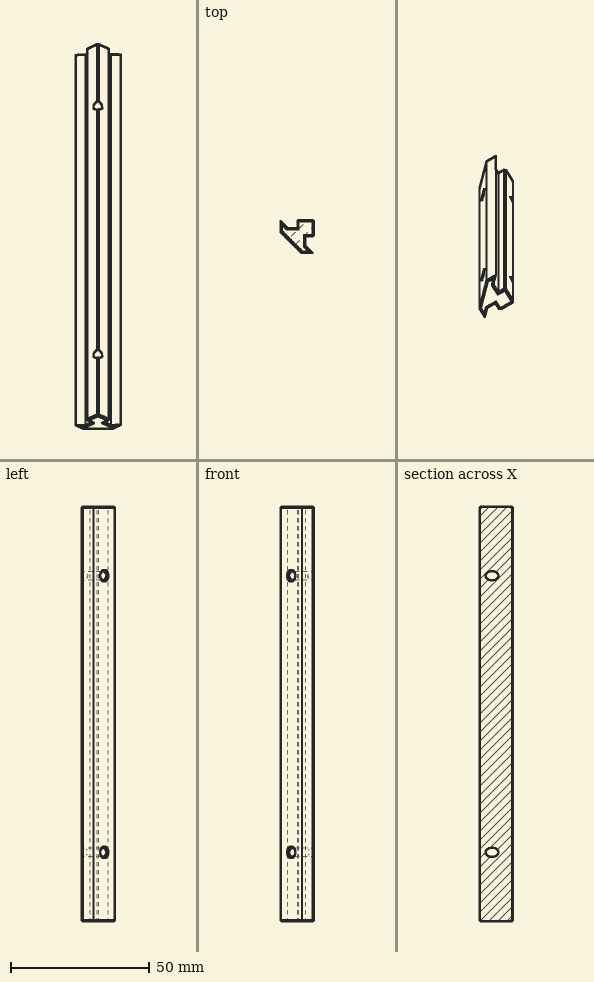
import cadquery as cq
import math

length = 150.0
side = 12.0

face_cut = 7.6
lip_tip = 11.5
lip_root = 9.0
block_start = 6.0
end_chamfer = 0.5
corner_chamfer = 0.5

hole_diameter = 3.2
hole_mouth_diameter = 4.2
hole_spacing = 100.0
mouth_depth = (hole_mouth_diameter - hole_diameter) / 2


def make_strip():
    """Extrude the section and bevel the block corners and both ends."""
    lip_slope_end = lip_tip - lip_root
    half_outline = [
        (face_cut, 0),
        (lip_tip, 0),
        (lip_root, lip_slope_end),
        (lip_root, block_start),
        (side, block_start),
    ]
    mirrored_half = [(y, x) for x, y in reversed(half_outline)]
    outline = half_outline + [(side, side)] + mirrored_half
    strip = cq.Workplane("XY").polyline(outline).close().extrude(length)

    for x, y in [(side, block_start), (side, side), (block_start, side)]:
        corner = cq.selectors.NearestToPointSelector((x, y, length / 2))
        strip = strip.edges(corner).chamfer(corner_chamfer)
    return strip.faces("<Z or >Z").chamfer(end_chamfer)


def make_hole(z):
    """Through hole with a conical mouth, square to the mounting face."""
    inward = cq.Vector(1, 1, 0).normalized()
    mouth = cq.Vector(face_cut / 2, face_cut / 2, z)
    through_length = side * math.sqrt(2)
    bore = cq.Solid.makeCylinder(hole_diameter / 2, through_length, mouth, inward)
    countersink = cq.Solid.makeCone(
        hole_mouth_diameter / 2, hole_diameter / 2, mouth_depth, mouth, inward
    )
    return bore.fuse(countersink)


result = make_strip()
for direction in (-1, 1):
    hole_height = length / 2 + direction * hole_spacing / 2
    result = result.cut(cq.Workplane(obj=make_hole(hole_height)))